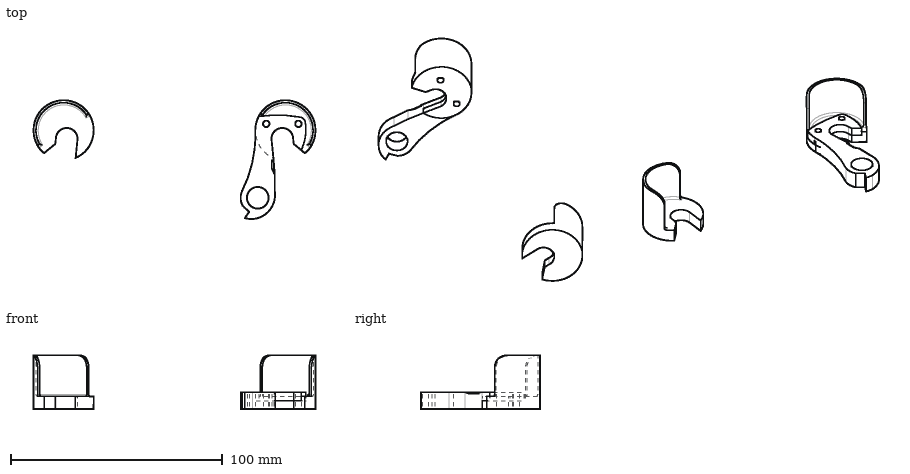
import cadquery as cq
import math

overall_length = 133.2
cup_radius = 14.3
cup_x = overall_length / 2 - cup_radius

cup_height = 25.5
floor_thickness = 6.0
wall_thickness = 1.2
foot_fillet = 0.9
wall_corner_radius = 6.0
wall_cut_angle = 32.0
wall_cut_offset = 0.4

slot_x = -1.5
slot_y = -4.0
slot_radius = 5.0
slot_left = slot_x - slot_radius
slot_right = slot_x + slot_radius
slot_right_corner = (3.9, -6.4)
slot_right_tip = (9.3, -10.9)
flare_slope = (slot_right_tip[1] - slot_right_corner[1]) / (slot_right_tip[0] - slot_right_corner[0])
slot_left_tip = (-5.6, -13.2)

hanger_top = 8.0
recess_floor = 4.0
screw_hole_radius = 1.5
screw_spacing = 15.2
screw_y = 3.0
eye_x = -13.0
eye_y = -31.8
eye_hole_radius = 5.0
eye_outer_radius = 8.1
eye_entry_angle = 22.0
eye_exit_angle = 27.0
hanger_shoulder_y = 6.5
shoulder_angle = math.asin(hanger_shoulder_y / cup_radius)
arm_right = -4.9
arm_right_top = -21.2
toe_x = 7.5
hanger_toe = (toe_x, slot_right_corner[1] + (toe_x - slot_right_corner[0]) * flare_slope)
hook_tip = (-19.2, -41.4)
hook_notch = (-17.2, -38.5)
scoop_depth = 0.8
scoop_taper = 45.0


def rim_point(angle):
    """Point on the outer circle of the cup, measured back from the -X direction."""
    return (-cup_radius * math.cos(angle), cup_radius * math.sin(angle))


def wall_zone():
    """Prism that keeps the wall on one side of the cut plane, with rounded top corner and foot."""
    reach = 2 * cup_radius
    top_start = wall_cut_offset + wall_corner_radius
    foot_end = wall_cut_offset - foot_fillet
    turn = math.sqrt(0.5)
    profile = (
        cq.Workplane("YZ")
        .moveTo(reach, 0)
        .lineTo(foot_end, 0)
        .lineTo(foot_end, floor_thickness)
        .threePointArc(
            (foot_end + foot_fillet * turn, floor_thickness + foot_fillet * (1 - turn)),
            (wall_cut_offset, floor_thickness + foot_fillet),
        )
        .lineTo(wall_cut_offset, cup_height - wall_corner_radius)
        .threePointArc(
            (top_start - wall_corner_radius * turn, cup_height - wall_corner_radius * (1 - turn)),
            (top_start, cup_height),
        )
        .lineTo(reach, cup_height)
        .close()
    )
    zone = profile.extrude(reach, both=True)
    return zone.rotate((0, 0, 0), (0, 0, 1), -wall_cut_angle)


def slot_cutter():
    """Slot with a round end, one steep side and one side that flares out at a corner."""
    below = -2 * cup_radius
    flare_x = slot_right_corner[0] + (below - slot_right_corner[1]) / flare_slope
    lean = (slot_left_tip[0] - slot_left) / (slot_left_tip[1] - slot_y)
    lean_x = slot_left + (below - slot_y) * lean
    return (
        cq.Workplane("XY")
        .moveTo(lean_x, below)
        .lineTo(slot_left, slot_y)
        .threePointArc((slot_x, slot_y + slot_radius), (slot_right, slot_y))
        .lineTo(*slot_right_corner)
        .lineTo(flare_x, below)
        .close()
        .extrude(cup_height)
    )


def screw_holes():
    centers = [(slot_x + side * screw_spacing / 2, screw_y) for side in (-1, 1)]
    return cq.Workplane("XY").pushPoints(centers).circle(screw_hole_radius).extrude(cup_height)


def make_cup():
    """Round floor with a partial wall and an open slot, centred on the Z axis."""
    solid_cup = cq.Workplane("XY").circle(cup_radius).extrude(cup_height)
    cavity = (
        cq.Workplane("XY")
        .workplane(offset=floor_thickness)
        .circle(cup_radius - wall_thickness)
        .extrude(2 * cup_height)
        .faces("<Z")
        .edges()
        .fillet(foot_fillet)
    )
    floor = cq.Workplane("XY").circle(cup_radius).extrude(floor_thickness)
    wall = solid_cup.cut(cavity).intersect(wall_zone())
    return floor.union(wall).cut(slot_cutter())


def hanger_blank():
    """Full-height hanger outline, without holes or seat."""
    eye_entry = (eye_x - eye_outer_radius * math.cos(math.radians(eye_entry_angle)),
                 eye_y + eye_outer_radius * math.sin(math.radians(eye_entry_angle)))
    eye_exit = (eye_x - eye_outer_radius * math.cos(math.radians(eye_exit_angle)),
                eye_y - eye_outer_radius * math.sin(math.radians(eye_exit_angle)))
    return (
        cq.Workplane("XY")
        .moveTo(*rim_point(shoulder_angle))
        .threePointArc((-3.3, 7.2), (6.7, 6.3))
        .threePointArc((8.7, 5.3), (9.5, 3.3))
        .threePointArc((9.3, -3.6), hanger_toe)
        .lineTo(*slot_right_corner)
        .lineTo(slot_right, slot_y)
        .threePointArc((slot_x, slot_y + slot_radius), (slot_left, slot_y))
        .lineTo(*slot_left_tip)
        .lineTo(arm_right, arm_right_top)
        .lineTo(arm_right, -28.9)
        .threePointArc((-8.4, -38.8), (-15.7, -42.0))
        .threePointArc((-17.5, -41.8), hook_tip)
        .lineTo(*hook_notch)
        .lineTo(*eye_exit)
        .threePointArc((eye_x - eye_outer_radius, eye_y), eye_entry)
        .spline([(-17.2, -20.6), (-14.9, -11.2), rim_point(0)], includeCurrent=True)
        .threePointArc(rim_point(shoulder_angle / 2), rim_point(shoulder_angle))
        .close()
        .extrude(hanger_top)
    )


def edge_scoop():
    """Shallow sloping relief on the top right edge of the arm."""
    scoop_left = -6.4
    scoop_right = -2.7
    scoop_top = -14.1
    return (
        cq.Workplane("XY")
        .workplane(offset=hanger_top)
        .polyline([
            (scoop_left, scoop_top),
            (scoop_left, -18.1),
            (arm_right, arm_right_top),
            (scoop_right, arm_right_top),
            (scoop_right, scoop_top),
        ])
        .close()
        .extrude(-scoop_depth, taper=scoop_taper)
    )


def make_hanger():
    """Arm whose upper end steps over the cup floor; the arm itself is full height."""
    seat = cq.Workplane("XY").circle(cup_radius).extrude(recess_floor)
    eye_hole = cq.Workplane("XY").center(eye_x, eye_y).circle(eye_hole_radius).extrude(hanger_top)
    return hanger_blank().cut(seat).cut(eye_hole).cut(screw_holes()).cut(edge_scoop())


def hanger_recess():
    """Pocket in the right cup that takes the upper end of the hanger."""
    above_seat = (
        cq.Workplane("XY")
        .workplane(offset=recess_floor)
        .circle(2 * cup_radius)
        .extrude(hanger_top - recess_floor)
    )
    return hanger_blank().intersect(above_seat)


plain_cup = make_cup().mirror("YZ").translate((-cup_x, 0, 0))
seated_cup = make_cup().cut(hanger_recess()).cut(screw_holes()).translate((cup_x, 0, 0))
hanger = make_hanger().translate((cup_x, 0, 0))

result = cq.Compound.makeCompound([
    plain_cup.val(),
    seated_cup.val(),
    hanger.val(),
])